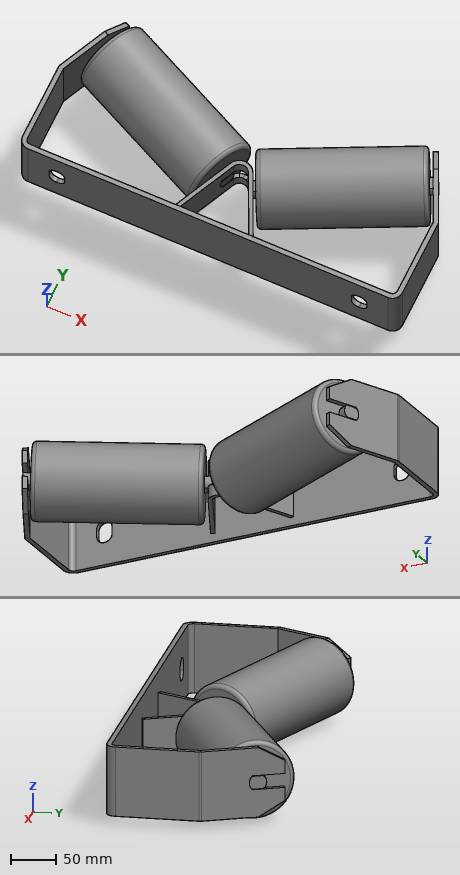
import cadquery as cq
import math


bracket_width = 460.0
bracket_height = 80.0
bracket_thickness = 6.0
back_bend_radius = 12.0
side_depth = 106.0
arm_angle = 25.0
arm_length = 94.8
arm_corner_length = 30.5
arm_corner_height = 17.0

mounting_slot_width = 19.0
mounting_slot_height = 25.8
mounting_slot_corner = 8.7
mounting_slot_spacing = 366.0

support_thickness = 5.0
support_bend_radius = 15.0
support_height = 46.0
support_apex = 97.0

roller_diameter = 89.0
roller_edge_radius = 5.0
roller_gap = 3.9
roller_tilt = 2.0
shaft_diameter = 20.0
shaft_flats = 14.5
shaft_position = 64.0
slot_height = 16.0

lean_sin = math.sin(math.radians(arm_angle))
lean_cos = math.cos(math.radians(arm_angle))
tilt_cos = math.cos(math.radians(roller_tilt))
tilt_tan = math.tan(math.radians(roller_tilt))

along = cq.Vector(lean_sin, lean_cos, 0)
across = cq.Vector(lean_cos, -lean_sin, 0)
axis = (across - cq.Vector(0, 0, tilt_tan)).normalized()

arm_root = cq.Vector(bracket_thickness - bracket_width / 2, side_depth, 0)
shaft_start = arm_root + along * shaft_position - across * bracket_thickness

bend_centre = cq.Vector(0, support_apex - support_bend_radius, 0)
leg_face = bend_centre - across * support_bend_radius
plate_span = (leg_face - arm_root).dot(across)
shaft_length = (bracket_thickness + plate_span + support_thickness) / tilt_cos
shaft_end = shaft_start + axis * shaft_length
roller_start = (bracket_thickness + roller_gap) / tilt_cos
roller_length = (plate_span - 2 * roller_gap) / tilt_cos


def mirrored(solid):
    return solid.mirror("YZ")


def axis_plane(distance):
    """Plane across the left roller's axis, at a distance from the shaft's outer end."""
    return cq.Plane(origin=shaft_start + axis * distance, xDir=along * -1, normal=axis)


def shaft_slot(start, depth):
    """Cutter with a round end that fits the shaft, running on past the end of the arm or leg."""
    half = slot_height / 2
    radius = shaft_diameter / 2
    corner = math.sqrt(radius**2 - half**2)
    return (
        cq.Workplane(axis_plane(start))
        .moveTo(-arm_length, -half)
        .lineTo(corner, -half)
        .threePointArc((radius, 0), (corner, half))
        .lineTo(-arm_length, half)
        .close()
        .extrude(depth)
    )


def make_left_arm():
    tip = arm_length - arm_corner_length
    low_tip = bracket_height / 2 - arm_corner_height
    arm = (
        cq.Workplane(cq.Plane(origin=arm_root, xDir=along, normal=across * -1))
        .moveTo(0, -bracket_height / 2)
        .lineTo(tip, -bracket_height / 2)
        .lineTo(arm_length, -low_tip)
        .lineTo(arm_length, low_tip)
        .lineTo(tip, bracket_height / 2)
        .lineTo(0, bracket_height / 2)
        .close()
        .extrude(bracket_thickness)
    )
    return arm.cut(shaft_slot(-bracket_thickness, 3 * bracket_thickness))


def make_left_arm_bend():
    """Wedge of a cylinder about the sharp inner corner, between the side and the arm."""
    half_angle = math.radians(arm_angle / 2)
    outer_side = arm_root - cq.Vector(bracket_thickness, 0, 0)
    outer_middle = arm_root + cq.Vector(-math.cos(half_angle), math.sin(half_angle), 0) * bracket_thickness
    outer_arm = arm_root - across * bracket_thickness
    return (
        cq.Workplane("XY")
        .workplane(offset=-bracket_height / 2)
        .moveTo(arm_root.x, arm_root.y)
        .lineTo(outer_side.x, outer_side.y)
        .threePointArc((outer_middle.x, outer_middle.y), (outer_arm.x, outer_arm.y))
        .close()
        .extrude(bracket_height)
    )


def make_channel():
    """Back and two sides, with rounded bends between them."""
    inner_width = bracket_width - 2 * bracket_thickness
    channel = (
        cq.Workplane("XY")
        .box(bracket_width, side_depth, bracket_height, centered=(True, False, True))
        .edges("|Z and <Y")
        .fillet(back_bend_radius)
    )
    inside = (
        cq.Workplane("XY")
        .box(inner_width, side_depth, bracket_height, centered=(True, False, True))
        .edges("|Z and <Y")
        .fillet(back_bend_radius - bracket_thickness)
        .translate((0, bracket_thickness, 0))
    )
    mounting_slots = (
        cq.Workplane("XY")
        .rarray(mounting_slot_spacing, 4.5, 2, 1)
        .box(mounting_slot_width, 4 * bracket_thickness, mounting_slot_height)
        .edges("|Y")
        .fillet(mounting_slot_corner)
    )
    return channel.cut(inside).cut(mounting_slots)


def make_bracket():
    arm = make_left_arm()
    bend = make_left_arm_bend()
    bracket = make_channel()
    for piece in (bend, arm, mirrored(bend), mirrored(arm)):
        bracket = bracket.union(piece)
    return bracket


def make_support():
    """Bent strip whose two legs stand with their corners on the bracket's back."""
    inner_radius = support_bend_radius - support_thickness
    leg_length = (leg_face.y - support_thickness * lean_sin - bracket_thickness) / lean_cos
    inner_face = leg_face + across * support_thickness
    outer_foot = leg_face - along * leg_length
    inner_foot = inner_face - along * leg_length
    support = (
        cq.Workplane("XY")
        .workplane(offset=shaft_end.z - support_height / 2)
        .moveTo(inner_foot.x, inner_foot.y)
        .lineTo(outer_foot.x, outer_foot.y)
        .lineTo(leg_face.x, leg_face.y)
        .threePointArc((0, support_apex), (-leg_face.x, leg_face.y))
        .lineTo(-outer_foot.x, outer_foot.y)
        .lineTo(-inner_foot.x, inner_foot.y)
        .lineTo(-inner_face.x, inner_face.y)
        .threePointArc((0, bend_centre.y + inner_radius), (inner_face.x, inner_face.y))
        .close()
        .extrude(support_height)
    )
    slot_start = shaft_length - 2 * support_thickness
    slot = shaft_slot(slot_start, support_thickness + support_bend_radius)
    return support.cut(slot).cut(mirrored(slot))


def make_left_roller():
    """Roller with rounded edges, fixed to a shaft that has flats above and below."""
    drum = (
        cq.Workplane(axis_plane(roller_start))
        .circle(roller_diameter / 2)
        .extrude(roller_length)
        .faces("<X or >X")
        .edges()
        .fillet(roller_edge_radius)
    )
    flats = cq.Workplane(axis_plane(0)).rect(2 * shaft_diameter, shaft_flats).extrude(shaft_length)
    shaft = cq.Workplane(axis_plane(0)).circle(shaft_diameter / 2).extrude(shaft_length).intersect(flats)
    return drum.union(shaft)


bracket = make_bracket()
support = make_support()
left_roller = make_left_roller()
rollers = [left_roller, mirrored(left_roller)]

result = cq.Compound.makeCompound([bracket.val(), support.val(), *[roller.val() for roller in rollers]])